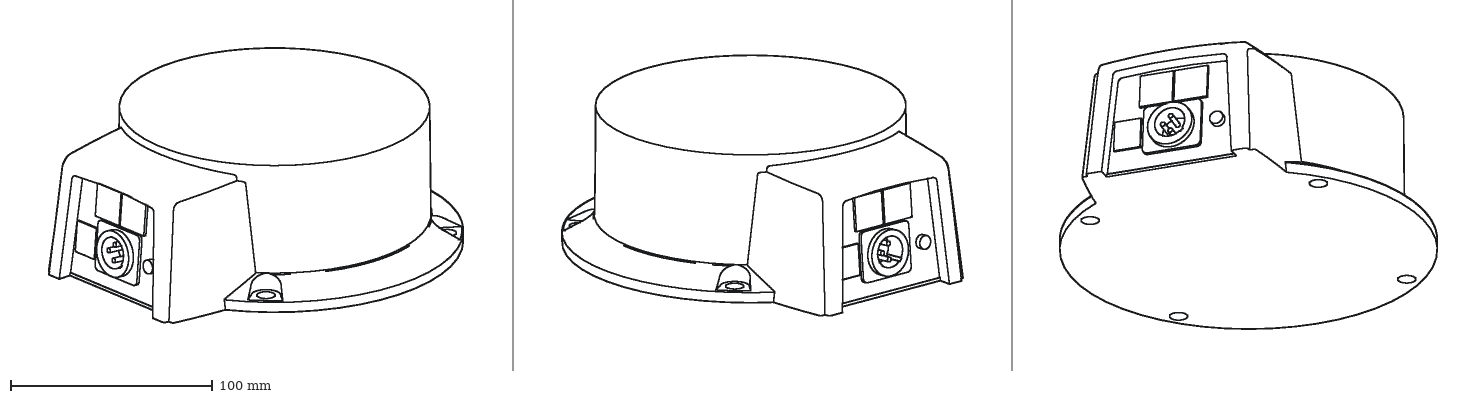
import cadquery as cq
import math

flange_radius = 93.87
flange_height = 5.6
flange_edge_fillet = 0.4
skirt_top_radius = 78.4
skirt_top_height = 13.9
drum_base_radius = 77.8
drum_top_radius = 77.2
total_height = 72.0

hole_count = 4
hole_circle_radius = 86.0
hole_diameter = 9.0
scoop_radius = 7.3
scoop_mouth_half_width = 8.7
scoop_mouth_distance = 6.7
scoop_taper = 6.0
scoop_floor_rise = 0.4
scoop_floor = flange_height + scoop_floor_rise

housing_draft = 5.0
cheek_front_draft = 6.7
housing_back_y = -25.0
core_front_y = -113.05
core_inset = 3.3
step_depth = 2.9
step_height = 3.0
cheek_half_width_at_back = 51.9
cheek_half_width_at_middle = 50.7
cheek_half_width_at_front = 46.2
cheek_middle_y = -80.0
crown_radius = 310.0
crown_height_at_drum = 67.85
crown_slope = 5.0
core_top_fillet = 7.0
cheek_top_fillet = 4.0
core_edge_fillet = 1.6
cheek_edge_fillet = 1.3

panel_depth = 7.3
opening_half_width_bottom = 34.5
opening_half_width_top = 30.2
opening_side_height = 55.2
opening_crown_height = 56.6
opening_corner_fillet = 2.5
sill_height = 1.6
sill_depth = 0.3

cover_size = 17.5
cover_center_x = 9.2
cover_center_height = 45.1
cover_thickness = 1.4
switch_width = 14.0
switch_height = 16.3
switch_center_x = -24.0
switch_center_height = 21.9
switch_thickness = 1.0
connector_height = 22.3
plate_width = 30.8
plate_height = 26.4
plate_thickness = 1.6
plate_corner_radius = 2.5
ring_diameter = 23.6
ring_protrusion = 4.8
socket_diameter = 16.0
socket_depth = 11.0
keyway_width = 2.0
keyway_depth = 0.5
keyway_angle = -40.0
pin_diameter = 2.4
pin_length = 10.0
pin_circle_radius = 4.1
pin_angles = (90, 180, 270)
button_diameter = 7.0
button_center_x = 24.1
button_protrusion = 3.0

draft_angle = math.radians(housing_draft)
front_normal = cq.Vector(0, -math.cos(draft_angle), math.sin(draft_angle))
along_front_normal = cq.selectors.ParallelDirSelector(front_normal)


def front_plane(depth):
    """Plane parallel to the sloping front face, set back by depth; local y is up the face."""
    setback = depth / math.cos(draft_angle)
    return cq.Plane(origin=(0, core_front_y + setback, 0), xDir=(1, 0, 0), normal=front_normal.toTuple())


def up_face(height):
    """Distance up the sloping face that reaches the given height."""
    return height / math.cos(draft_angle)


def make_drum():
    """Flange, sloping skirt and slightly tapered drum, turned about Z."""
    profile = (
        cq.Workplane("XZ")
        .lineTo(flange_radius, 0)
        .lineTo(flange_radius, flange_height)
        .lineTo(skirt_top_radius, skirt_top_height)
        .lineTo(drum_base_radius, skirt_top_height + skirt_top_radius - drum_base_radius)
        .lineTo(drum_top_radius, total_height)
        .lineTo(0, total_height)
        .close()
    )
    drum = profile.revolve(360, (0, 0, 0), (0, 1, 0))
    largest_radius = cq.selectors.RadiusNthSelector(-1)
    rim_edge = drum.edges("%CIRCLE").edges(largest_radius).edges(">Z")
    return rim_edge.fillet(flange_edge_fillet)


def make_scoop():
    """Cutter with a round inner end and flared sides, widening upwards and outwards."""
    scoop = (
        cq.Workplane("XY", origin=(hole_circle_radius, 0, scoop_floor))
        .moveTo(0, -scoop_radius)
        .threePointArc((-scoop_radius, 0), (0, scoop_radius))
        .lineTo(scoop_mouth_distance, scoop_mouth_half_width)
        .lineTo(2 * scoop_mouth_distance, scoop_mouth_half_width)
        .lineTo(2 * scoop_mouth_distance, -scoop_mouth_half_width)
        .lineTo(scoop_mouth_distance, -scoop_mouth_half_width)
        .close()
        .extrude(skirt_top_height, taper=-scoop_taper)
    )
    drum_core = cq.Workplane("XY").circle(drum_base_radius).extrude(total_height)
    return scoop.cut(drum_core)


def cut_mounting_holes(body):
    hole = cq.Workplane("XY").center(hole_circle_radius, 0).circle(hole_diameter / 2).extrude(total_height)
    scoop = make_scoop()
    for index in range(hole_count):
        angle = (index + 0.5) * 360 / hole_count
        for cutter in (hole, scoop):
            body = body.cut(cutter.rotate((0, 0, 0), (0, 0, 1), angle))
    return body


def make_crown_envelope(top_drop):
    """Everything below the crowned roof, which slopes down towards the front."""
    slope = math.radians(crown_slope)
    roof_plane = cq.Plane(
        origin=(0, -drum_top_radius, crown_height_at_drum - top_drop),
        xDir=(1, 0, 0),
        normal=(0, -math.cos(slope), -math.sin(slope)),
    )
    half_length = 2 * drum_top_radius
    return (
        cq.Workplane(roof_plane)
        .center(0, -crown_radius)
        .circle(crown_radius)
        .extrude(half_length, both=True)
    )


def make_front_wedge(front_y, front_draft):
    """Cutter that leans a front face back from its foot by the given draft."""
    setback = total_height * math.tan(math.radians(front_draft))
    return (
        cq.Workplane("YZ")
        .moveTo(front_y, 0)
        .lineTo(front_y + setback, total_height)
        .lineTo(front_y - setback, total_height)
        .lineTo(front_y - setback, 0)
        .close()
        .extrude(2 * cheek_half_width_at_back, both=True)
    )


def make_housing_layer(inset, front_y, front_draft, top_drop, top_fillet, edge_fillet):
    """Drafted block with bowed sides, a flat front and a crowned roof."""
    back = cheek_half_width_at_back - inset
    middle = cheek_half_width_at_middle - inset
    front = cheek_half_width_at_front - inset
    block = (
        cq.Workplane("XY")
        .moveTo(-back, housing_back_y)
        .threePointArc((-middle, cheek_middle_y), (-front, front_y))
        .lineTo(front, front_y)
        .threePointArc((middle, cheek_middle_y), (back, housing_back_y))
        .close()
        .extrude(total_height, taper=housing_draft)
    )
    if front_draft > housing_draft:
        block = block.cut(make_front_wedge(front_y, front_draft))
    block = block.intersect(make_crown_envelope(top_drop))
    front_top_edge = block.faces("<Y").edges(">Z")
    block = front_top_edge.fillet(top_fillet)
    side_edges = block.faces("<X or >X").edges("not (<Z or >Y)")
    return side_edges.fillet(edge_fillet)


def make_housing():
    core = make_housing_layer(core_inset, core_front_y, housing_draft, 0, core_top_fillet, core_edge_fillet)
    cheek_front_y = core_front_y + step_depth
    cheeks = make_housing_layer(
        0, cheek_front_y, cheek_front_draft, step_height, cheek_top_fillet, cheek_edge_fillet
    )
    return cheeks.union(core)


def make_panel_recess():
    """Cutter for the tapered opening, which runs out through the underside."""
    plane = front_plane(panel_depth)
    side_top = up_face(opening_side_height)
    recess = (
        cq.Workplane(plane)
        .moveTo(-opening_half_width_bottom, 0)
        .lineTo(-opening_half_width_top, side_top)
        .threePointArc((0, up_face(opening_crown_height)), (opening_half_width_top, side_top))
        .lineTo(opening_half_width_bottom, 0)
        .lineTo(opening_half_width_bottom, -panel_depth)
        .lineTo(-opening_half_width_bottom, -panel_depth)
        .close()
        .extrude(2 * panel_depth)
    )
    upper_corners = recess.edges(along_front_normal).edges(">Z")
    return upper_corners.fillet(opening_corner_fillet)


def panel_block(x, height, width, tall, thickness):
    """Rectangular plate that stands on the connector panel."""
    return (
        cq.Workplane(front_plane(panel_depth))
        .center(x, up_face(height))
        .rect(width, tall)
        .extrude(thickness)
    )


def panel_cylinder(x, height, diameter, depth, length):
    """Rod along the front normal that starts at the given depth behind the front face."""
    return (
        cq.Workplane(front_plane(depth))
        .center(x, up_face(height))
        .circle(diameter / 2)
        .extrude(length)
    )


def add_panel_parts(body):
    """Two covers, a switch, a sill along the bottom and a round button."""
    for side in (-1, 1):
        body = body.union(
            panel_block(side * cover_center_x, cover_center_height, cover_size, cover_size, cover_thickness)
        )
    body = body.union(
        panel_block(switch_center_x, switch_center_height, switch_width, switch_height, switch_thickness)
    )
    sill = panel_block(0, 0, 2 * opening_half_width_bottom, 2 * sill_height, sill_depth)
    above_ground = cq.Workplane("XY").box(
        4 * flange_radius, 4 * flange_radius, total_height, centered=(True, True, False)
    )
    body = body.union(sill.intersect(above_ground))
    return body.union(
        panel_cylinder(button_center_x, connector_height, button_diameter, panel_depth, button_protrusion)
    )


def add_connector(body):
    """Plate and ring around a keyed socket with contact pins."""
    plate = panel_block(0, connector_height, plate_width, plate_height, plate_thickness)
    plate = plate.edges(along_front_normal).fillet(plate_corner_radius)
    ring = panel_cylinder(0, connector_height, ring_diameter, panel_depth, ring_protrusion)
    socket_floor = panel_depth - ring_protrusion + socket_depth
    socket = panel_cylinder(0, connector_height, socket_diameter, socket_floor, socket_depth)
    keyway = (
        cq.Workplane(front_plane(socket_floor))
        .center(0, up_face(connector_height))
        .transformed(rotate=(0, 0, keyway_angle))
        .center(socket_diameter / 4 + keyway_depth / 2, 0)
        .rect(socket_diameter / 2 + keyway_depth, keyway_width)
        .extrude(socket_depth)
    )
    body = body.union(plate).union(ring).cut(socket.union(keyway))
    for angle in pin_angles:
        pin_x = pin_circle_radius * math.cos(math.radians(angle))
        pin_height = connector_height + pin_circle_radius * math.sin(math.radians(angle))
        body = body.union(panel_cylinder(pin_x, pin_height, pin_diameter, socket_floor, pin_length))
    return body


drum = cut_mounting_holes(make_drum())
result = drum.union(make_housing())
result = result.cut(make_panel_recess())
result = add_panel_parts(result)
result = add_connector(result)